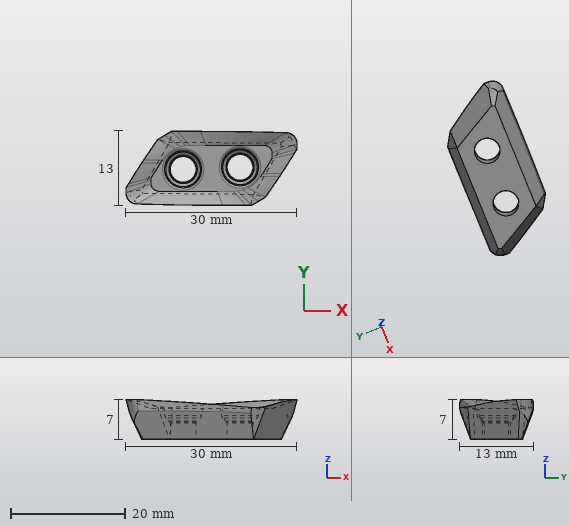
import cadquery as cq
import math


NOSE_Z = 7.0
LAND_Z = 5.37
BREAK_Z = 4.65

FRONT_FOOT_Y = -4.55
HEEL_FOOT_X = 7.35
TIP_FOOT_X = -12.03
SIDE_FOOT = (-12.25, -3.78)

FRONT_SLOPE = 0.376
FRONT_LEAN = 0.009
SIDE_LEAN = (-SIDE_FOOT[0] - HEEL_FOOT_X) / (-SIDE_FOOT[1] - FRONT_FOOT_Y)
NOSE_SIDE = (-15.0, -3.42)
SIDE_SLOPE = (
    -NOSE_SIDE[0] - HEEL_FOOT_X - SIDE_LEAN * (-NOSE_SIDE[1] - FRONT_FOOT_Y)
) / NOSE_Z

NOSE_RADIUS = 1.98
NOSE_CENTER = (NOSE_SIDE[0] + NOSE_RADIUS, -4.3)
FRONT_RIM_Y = -6.495
FRONT_SPLIT_X = 1.98

LAND_FRONT_Y = -4.02
LAND_HEEL_X = 3.85
LAND_HEEL_RADIUS = 5.67
HEEL_ANGLES = (0, 7, 16.3, 26, 56.7)

HOLE_CENTER = (4.98, 0.18)
BORE_RADIUS = 2.25
SEAT_RADIUS = 2.4
THROAT_RADIUS = 2.5
CONE_RADIUS = 3.03
POCKET_RADIUS = 3.25
LIP_RADIUS = 3.78
LIP_DEPTH = 0.42
POCKET_DEPTH = 1.23
CONE_DEPTH = 1.62
THROAT_DEPTH = 2.13
SEAT_DEPTH = 2.35
BORE_DEPTH = 2.5
LIP_MIDDLE = (3.4, LAND_Z - 0.12)


def line(start, end):
    return cq.Edge.makeLine(cq.Vector(*start), cq.Vector(*end))


def arc(start, middle, end):
    return cq.Edge.makeThreePointArc(cq.Vector(*start), cq.Vector(*middle), cq.Vector(*end))


def curve(*points):
    return cq.Edge.makeSpline([cq.Vector(*p) for p in points])


def opposite(point):
    return (-point[0], -point[1], point[2])


def front_point(x, z):
    """Point on the lower front flank."""
    y = FRONT_FOOT_Y - FRONT_SLOPE * z + FRONT_LEAN * (HEEL_FOOT_X - x)
    return (x, y, z)


def side_point(y, z):
    """Point on the slanted flank at +X."""
    x = HEEL_FOOT_X + SIDE_LEAN * (y - FRONT_FOOT_Y) + SIDE_SLOPE * z
    return (x, y, z)


def nose_point(angle):
    """Point on the nose rim, with the angle measured from -X toward -Y."""
    a = math.radians(angle)
    x = NOSE_CENTER[0] - NOSE_RADIUS * math.cos(a)
    return (x, NOSE_CENTER[1] - NOSE_RADIUS * math.sin(a), NOSE_Z)


def land_heel_point(angle):
    a = math.radians(angle)
    x = LAND_HEEL_X + LAND_HEEL_RADIUS * math.sin(a)
    return (x, LAND_FRONT_Y + LAND_HEEL_RADIUS * (1 - math.cos(a)), LAND_Z)


def flat(edges):
    return cq.Face.makeFromWires(cq.Wire.assembleEdges(edges))


def patch(edges):
    return cq.Face.makeNSidedSurface(edges, [])


rim_side = (*NOSE_SIDE, NOSE_Z)
rim_nose = nose_point(0)
rim_front = nose_point(90)
rim_split = (FRONT_SPLIT_X, FRONT_RIM_Y, 6.0)
rim_low = (6.0, FRONT_RIM_Y, 5.65)
rim_heel = (7.02, FRONT_RIM_Y, 5.58)
rim_corner = side_point(-5.05, 5.65)
rim_middle = tuple((a + b) / 2 for a, b in zip(rim_heel, rim_corner))
rim_rise = side_point(-1.47, 6.45)
rim_crest = side_point(-0.9, 6.55)
rim_end = side_point(2.67, 6.93)
rim_far = opposite(rim_side)
rim = [
    line(rim_side, rim_nose),
    arc(rim_nose, nose_point(45), rim_front),
    curve(rim_front, (-6.6, -6.42, 6.63), rim_split),
    line(rim_split, rim_low),
    line(rim_low, rim_heel),
    line(rim_heel, rim_middle),
    line(rim_middle, rim_corner),
    curve(rim_corner, side_point(-3.3, 6.03), rim_rise),
    line(rim_rise, rim_crest),
    curve(rim_crest, side_point(0.9, 6.78), rim_end),
    line(rim_end, rim_far),
]

land_side = (-10.62, -2.07, LAND_Z)
land_nose = (-10.62, -2.7, LAND_Z)
land_front = (-9.27, LAND_FRONT_Y, LAND_Z)
land_crest = (8.95, -0.95, LAND_Z)
land_end = (10.55, 1.68, LAND_Z)
land_split = (0.95, LAND_FRONT_Y, LAND_Z)
heel = [land_heel_point(a) for a in HEEL_ANGLES]
heel_middles = [land_heel_point((a + b) / 2) for a, b in zip(HEEL_ANGLES, HEEL_ANGLES[1:])]
land = [
    line(land_side, land_nose),
    arc(land_nose, (-10.2, -3.6, LAND_Z), land_front),
    line(land_front, land_split),
    line(land_split, heel[0]),
]
for start, middle, end in zip(heel, heel_middles, heel[1:]):
    land.append(arc(start, middle, end))
land += [
    line(heel[-1], land_crest),
    line(land_crest, land_end),
    line(land_end, opposite(land_side)),
]

break_nose = front_point(-12.9, 4.95)
break_split = front_point(FRONT_SPLIT_X, 4.83)
break_heel = front_point(6.87, 4.6)
break_side = opposite(side_point(4.05, BREAK_Z))
nose_foot = (-14.37, NOSE_CENTER[1], BREAK_Z)
nose_tip = front_point(-13.53, 2.9)
foot_tip = front_point(TIP_FOOT_X, 0)
foot_heel = front_point(HEEL_FOOT_X, 0)
foot_side = (*SIDE_FOOT, 0)

break_long = curve(break_nose, front_point(-5.4, 4.95), break_split)
break_short = line(break_split, break_heel)
nose_front_curve = curve(break_nose, front_point(-13.38, 3.87), nose_tip)
nose_side_curve = curve(nose_foot, (-14.1, -4.98, 4.02), nose_tip)
nose_seam = line(rim_nose, nose_foot)
front_seam = line(rim_front, break_nose)
heel_seam = line(rim_heel, break_heel)
heel_edge = line(break_heel, foot_heel)
corner_edge = line(rim_corner, foot_heel)
tip_edge = line(nose_tip, foot_tip)
foot_front = line(foot_tip, foot_heel)
foot_nose = line(foot_side, foot_tip)
foot_flank = line(foot_heel, opposite(foot_side))

faces = [cq.Face.makeRuledSurface(inner, outer) for inner, outer in zip(land, rim)]
faces += [
    cq.Face.makeRuledSurface(rim[2], break_long),
    patch([rim[3], rim[4], heel_seam, break_short, line(rim_split, break_split)]),
    flat([foot_front, heel_edge, break_short, break_long, nose_front_curve, tip_edge]),
    patch([rim[5], rim[6], corner_edge, heel_edge, heel_seam]),
    flat([
        *rim[7:],
        line(rim_far, opposite(break_side)),
        line(opposite(break_side), opposite(foot_side)),
        foot_flank,
        corner_edge,
    ]),
    cq.Face.makeRuledSurface(rim[0], line(break_side, nose_foot)),
    patch([rim[1], front_seam, nose_front_curve, nose_side_curve, nose_seam]),
    patch([
        line(break_side, nose_foot),
        nose_side_curve,
        tip_edge,
        foot_nose,
        line(foot_side, break_side),
    ]),
]


def half_turn(shape):
    return shape.rotate(cq.Vector(0, 0, 0), cq.Vector(0, 0, 1), 180)


def both_ends(shapes):
    return shapes + [half_turn(s) for s in shapes]


skin = both_ends(faces)
skin.append(flat(both_ends(land)))
skin.append(flat(both_ends([foot_nose, foot_front, foot_flank])))
body = cq.Solid.makeSolid(cq.Shell.makeShell(skin)).fix()


def screw_hole():
    """Stepped bore with a rounded lip and a conical screw seat."""
    return (
        cq.Workplane("XZ")
        .moveTo(0, 0)
        .lineTo(BORE_RADIUS, 0)
        .lineTo(BORE_RADIUS, LAND_Z - BORE_DEPTH)
        .lineTo(SEAT_RADIUS, LAND_Z - SEAT_DEPTH)
        .lineTo(THROAT_RADIUS, LAND_Z - THROAT_DEPTH)
        .lineTo(CONE_RADIUS, LAND_Z - CONE_DEPTH)
        .lineTo(POCKET_RADIUS, LAND_Z - POCKET_DEPTH)
        .lineTo(POCKET_RADIUS, LAND_Z - LIP_DEPTH)
        .threePointArc(LIP_MIDDLE, (LIP_RADIUS, LAND_Z))
        .lineTo(LIP_RADIUS, NOSE_Z)
        .lineTo(0, NOSE_Z)
        .close()
        .revolve(360, (0, 0), (0, 1))
        .val()
        .moved(cq.Location(cq.Vector(*HOLE_CENTER, 0)))
    )


result = cq.Workplane(obj=body)
for hole in both_ends([screw_hole()]):
    result = result.cut(cq.Workplane(obj=hole))